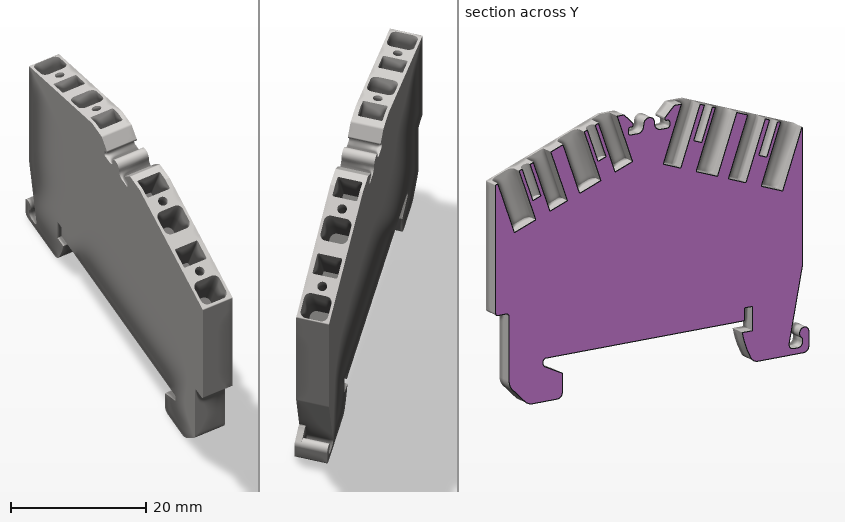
import cadquery as cq
import math

thickness = 5.0
total_height = 42.0
body_left = 1.1
body_right = 55.0
center_x = (body_left + body_right) / 2

roof_angle = 20.0
ridge_half = 7.35
roof_run = (body_right - body_left) / 2 - ridge_half
eave_z = total_height - roof_run * math.tan(math.radians(roof_angle))
eave_radius = 0.15

groove_mouth_half = 4.4
groove_lip_half = 2.75
groove_half = 3.6
groove_floor = 38.7
groove_lip_bottom = 39.9
lip_top = total_height - (groove_mouth_half - groove_lip_half)
groove_mouth_radius = 0.45
groove_lip_radius = 0.15
groove_round = 0.35
rib_foot_half = 1.1
rib_top_half = 0.9
rib_top = 40.85
rib_foot_radius = 1.0
rib_top_radius = 0.95

taper_top = 13.65
taper_slope = 0.2
taper_radius = 1.65
slot_floor = 1.0
slot_left = 1.2
slot_radius = 0.7
lip_center_x = 0.8
lip_center_z = 3.15
lip_radius = 0.9
shoulder_angle = 30.0
shoulder_radius = 0.8
web_top = 5.05
web_thickness = 1.0
foot_radius = 0.95

rail_top = 6.65
rail_slot_left = 9.95
rail_slot_right = 11.3
rail_slot_top = 8.65
jaw_top = 4.95
jaw_tip = 11.75
jaw_mid = (11.3, 3.1)
jaw_bottom = 9.8
jaw_radius = 1.55
rail_corner_radius = 0.2
right_jaw_x = 43.25
right_jaw_z = 3.9
right_jaw_root_x = 46.6
right_jaw_root_z = 5.55
right_jaw_radius = 0.4

step_x = 52.65
step_z = 14.65
step_radius = 0.45
heel_chamfer = 3.35
heel_radius = 1.9

opening_pitch = 12.15
wire_offset = 2.15
screw_offset = 5.45
left_clamp_offset = 8.65
right_clamp_offset = 8.4
wire_length = 3.9
wire_width = 4.2
wire_radius = 0.96
clamp_length = 3.2
clamp_width = 3.8
clamp_radius = 0.2
screw_diameter = 1.45
tool_center_y = -0.1
screw_depth = 5.5
left_depth = 9.9
right_depth = 8.5
right_shift = 0.3
clearance = 1.65


shoulder_slope = math.tan(math.radians(shoulder_angle))
lip_tangent_x = lip_center_x - lip_radius * math.sin(math.radians(shoulder_angle))
lip_tangent_z = lip_center_z + lip_radius * math.cos(math.radians(shoulder_angle))
shoulder_z = lip_tangent_z - lip_tangent_x * shoulder_slope


def taper_x(z):
    """X of the tapered outer face of the left leg at height z."""
    return body_left + (taper_top - z) * taper_slope


def extrude_profile(profile):
    """Extrude an XZ profile over the whole thickness."""
    return profile.close().extrude(thickness / 2, both=True)


def round_edges(solid, radius, points):
    """Round the edges that run along Y through the given (x, z) points."""
    selector = None
    for x, z in points:
        nearest = cq.selectors.NearestToPointSelector((x, 0, z))
        selector = nearest if selector is None else selector + nearest
    return solid.edges("|Y").edges(selector).fillet(radius)


def make_plate():
    """Plate with both feet and the upright hook lip, without the groove and the openings."""
    shoulder = (0, shoulder_z)
    lip_start = (lip_tangent_x, lip_tangent_z)
    lip_side_point = (lip_center_x + lip_radius, lip_center_z)
    lip_reach = lip_radius * math.sqrt(0.5)
    lip_end = (lip_center_x + lip_reach, lip_center_z - lip_reach)
    slot_corner = (slot_left, slot_floor)
    slot_end = (taper_x(slot_floor), slot_floor)
    taper_corner = (body_left, taper_top)
    left_eave = (body_left, eave_z)
    right_eave = (body_right, eave_z)
    step_outer = (body_right, step_z)
    step_inner = (step_x, step_z)
    heel_top = (step_x, heel_chamfer)
    heel_bottom = (step_x - heel_chamfer, 0)
    right_toe = (right_jaw_x, 0)
    right_root = (right_jaw_root_x, right_jaw_root_z)
    right_rail = (right_jaw_root_x, rail_top)
    left_rail = (rail_slot_right, rail_top)
    jaw_corner = (jaw_bottom, 0)
    profile = (
        cq.Workplane("XZ")
        .moveTo(0, 0)
        .lineTo(*shoulder)
        .lineTo(*lip_start)
        .threePointArc(lip_side_point, lip_end)
        .lineTo(slot_left, lip_end[1] - (lip_end[0] - slot_left))
        .lineTo(*slot_corner)
        .lineTo(*slot_end)
        .lineTo(*taper_corner)
        .lineTo(*left_eave)
        .lineTo(center_x - ridge_half, total_height)
        .lineTo(center_x + ridge_half, total_height)
        .lineTo(*right_eave)
        .lineTo(*step_outer)
        .lineTo(*step_inner)
        .lineTo(*heel_top)
        .lineTo(*heel_bottom)
        .lineTo(*right_toe)
        .lineTo(right_jaw_x, right_jaw_z)
        .lineTo(*right_root)
        .lineTo(*right_rail)
        .lineTo(*left_rail)
        .lineTo(rail_slot_right, rail_slot_top)
        .lineTo(rail_slot_left, rail_slot_top)
        .lineTo(rail_slot_left, jaw_top)
        .lineTo(jaw_tip, jaw_top)
        .threePointArc(jaw_mid, jaw_corner)
    )
    plate = extrude_profile(profile)
    plate = round_edges(plate, shoulder_radius, [shoulder])
    plate = round_edges(plate, slot_radius, [slot_corner, slot_end])
    plate = round_edges(plate, taper_radius, [taper_corner])
    plate = round_edges(plate, eave_radius, [left_eave, right_eave])
    plate = round_edges(plate, step_radius, [step_outer, step_inner])
    plate = round_edges(plate, heel_radius, [heel_top, heel_bottom])
    plate = round_edges(plate, foot_radius, [(0, 0), right_toe])
    plate = round_edges(plate, right_jaw_radius, [right_root, right_rail])
    plate = round_edges(plate, rail_corner_radius, [left_rail])
    return round_edges(plate, jaw_radius, [jaw_corner])


def make_hook_web():
    """Thin web on the +Y face that closes the slot behind the hook lip."""
    inside_x = taper_x(slot_floor) + slot_radius
    web = (
        cq.Workplane("XZ", origin=(0, thickness / 2, 0))
        .moveTo(0, foot_radius)
        .lineTo(0, shoulder_z)
        .lineTo((web_top - shoulder_z) / shoulder_slope, web_top)
        .lineTo(inside_x, web_top)
        .lineTo(inside_x, foot_radius)
        .close()
        .extrude(web_thickness)
    )
    return round_edges(web, shoulder_radius, [(0, shoulder_z)])


def cut_marker_groove(plate):
    """Undercut groove through the ridge, with a tapered rib standing on its floor."""
    corners = [
        (groove_mouth_half, total_height, groove_mouth_radius),
        (groove_lip_half, lip_top, groove_lip_radius),
        (groove_lip_half, groove_lip_bottom, groove_round),
        (groove_half, groove_lip_bottom, groove_round),
        (groove_half, groove_floor, groove_round),
        (rib_foot_half, groove_floor, rib_foot_radius),
        (rib_top_half, rib_top, rib_top_radius),
    ]
    right = [(center_x + dx, z) for dx, z, _ in corners]
    left = [(center_x - dx, z) for dx, z, _ in corners]
    groove = extrude_profile(cq.Workplane("XZ").polyline(right + left[::-1]))
    plate = plate.cut(groove)
    for left_corner, right_corner, (_, _, radius) in zip(left, right, corners):
        plate = round_edges(plate, radius, [left_corner, right_corner])
    return plate


def make_pocket(length, width, radius, depth, along, across):
    """Rounded rectangular pocket, square to a slope that lies in the XY plane."""
    return (
        cq.Workplane("XY", origin=(along, across, -depth))
        .rect(length, width)
        .extrude(depth + clearance)
        .edges("|Z")
        .fillet(radius)
    )


def make_slope_openings(depth, clamp_offset):
    """Two sets of wire funnel, screw hole and clamp pocket for the left roof slope."""
    openings = cq.Workplane("XY")
    for start in (0, opening_pitch):
        wire = make_pocket(wire_length, wire_width, wire_radius, depth, start + wire_offset, 0)
        clamp = make_pocket(
            clamp_length, clamp_width, clamp_radius, depth, start + clamp_offset, tool_center_y
        )
        screw = (
            cq.Workplane("XY", origin=(start + screw_offset, tool_center_y, -screw_depth))
            .circle(screw_diameter / 2)
            .extrude(screw_depth + clearance)
        )
        openings = openings.add(wire).add(clamp).add(screw)
    return openings.combine().rotate((0, 0, 0), (0, 1, 0), -roof_angle)


left_openings = make_slope_openings(left_depth, left_clamp_offset).translate((body_left, 0, eave_z))
shift_x = right_shift * math.cos(math.radians(roof_angle))
shift_z = right_shift * math.sin(math.radians(roof_angle))
right_openings = (
    make_slope_openings(right_depth, right_clamp_offset)
    .mirror("YZ")
    .translate((body_right - shift_x, 0, eave_z + shift_z))
)

plate = make_plate().union(make_hook_web())
result = cut_marker_groove(plate).cut(left_openings).cut(right_openings)